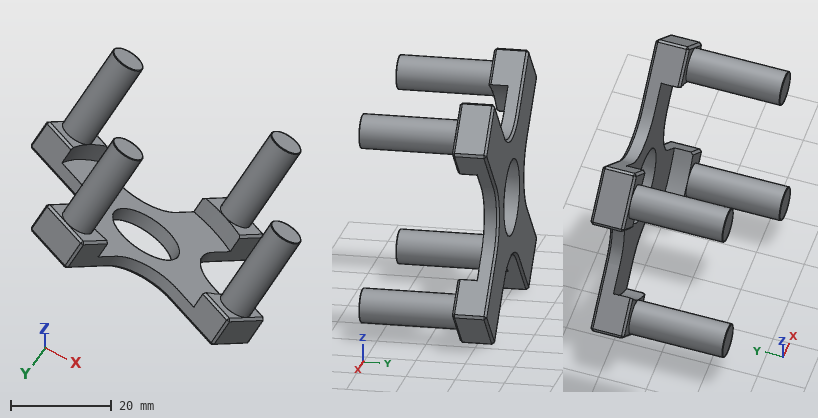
import cadquery as cq
import math

OVERALL_SIZE = 50.2
OVERALL_DEPTH = 26.6
ARM_COUNT = 4
ARM_WIDTH = 12.0
ARM_ANGLE = 45
NOTCH_RADIUS = 10.0
EDGE_CHAMFER = 0.5
PLATE_THICKNESS = 3.0
PAD_THICKNESS = 7.0
CENTRE_HOLE_DIAMETER = 15.5

ARM_REACH = OVERALL_SIZE / math.sqrt(2) - ARM_WIDTH / 2 + EDGE_CHAMFER

PIN_DIAMETER = 7.0
PIN_CHAMFER = 0.15
PIN_LENGTH = OVERALL_DEPTH - PAD_THICKNESS
PIN_CIRCLE_RADIUS = 25.95

RECESS_RADIUS = PIN_CIRCLE_RADIUS - PIN_DIAMETER / 2


def cylinder_towards_front(radius, start_y, length, x=0.0):
    """Cylinder along Y, from start_y towards -Y."""
    return cq.Workplane("XZ", origin=(x, start_y, 0)).circle(radius).extrude(length)


def turn_about_y(body, angle):
    """Turn a body about the central Y axis."""
    return body.rotate((0, 0, 0), (0, 1, 0), angle)


def make_bar(length_x, length_z):
    """Straight bar through the centre, as thick as the pads."""
    return cq.Workplane("XZ").rect(length_x, length_z).extrude(PAD_THICKNESS)


def make_cross():
    """Two crossing bars with rounded notches between them and chamfered outer edges."""
    cross = make_bar(2 * ARM_REACH, ARM_WIDTH).union(make_bar(ARM_WIDTH, 2 * ARM_REACH))
    notch_corners = cq.selectors.BoxSelector(
        (-ARM_WIDTH, -PAD_THICKNESS, -ARM_WIDTH),
        (ARM_WIDTH, 0, ARM_WIDTH),
    )
    cross = cross.edges("|Y").edges(notch_corners).fillet(NOTCH_RADIUS)

    outline_edges = cross.faces("<Y or >Y").edges()
    arm_end_corners = cross.faces("<X or >X or <Z or >Z").edges("|Y")
    return outline_edges.add(arm_end_corners).chamfer(EDGE_CHAMFER)


def make_bracket():
    """Cross thinned to a plate inside the pads, with a hole in the middle."""
    recess = cylinder_towards_front(RECESS_RADIUS, -PLATE_THICKNESS, PAD_THICKNESS)
    centre_hole = cylinder_towards_front(CENTRE_HOLE_DIAMETER / 2, 0, PAD_THICKNESS)
    bracket = make_cross().cut(recess).cut(centre_hole)
    return turn_about_y(bracket, ARM_ANGLE).solids()


def make_pin(angle):
    """Round pin on the front face of the pad at the given angle."""
    pin = cylinder_towards_front(PIN_DIAMETER / 2, -PAD_THICKNESS, PIN_LENGTH, PIN_CIRCLE_RADIUS)
    pin = pin.faces("<Y").edges().chamfer(PIN_CHAMFER)
    return turn_about_y(pin, angle)


bracket = make_bracket()
pins = [make_pin(ARM_ANGLE + i * 360 / ARM_COUNT) for i in range(ARM_COUNT)]

result = cq.Compound.makeCompound([bracket.val(), *[pin.val() for pin in pins]])